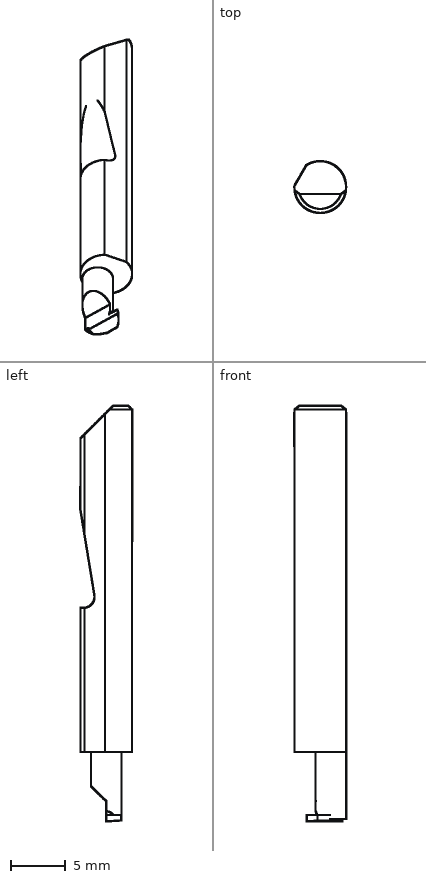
import cadquery as cq
import math

total_length = 38.1
shank_radius = 2.38
shank_bottom = 6.35
end_chamfer = 0.4
bevel_start_y = -0.65
flat_distance = 2.115
flat_direction = 150.0

notch_bottom = 19.6
notch_floor_y = 1.085
notch_radius = 1.0
notch_slope = 9.3

neck_radius = 1.4
neck_x = shank_radius - neck_radius
neck_bottom = 0.23
relief_edge_z = 1.85
relief_slope = 46.0
flank_top = 0.95
flank_width = 0.15

plate_top = 0.6
plate_tip_x = -1.25
plate_corner = (-0.25, -1.37)
plate_curve_middle = (-0.857, -0.75)
plate_end_x = 2.02
plate_end_y = -0.75
plate_clearance = 0.095

margin = 0.4


def make_shank():
    length = total_length - shank_bottom
    shank = cq.Workplane("XY").workplane(offset=shank_bottom).circle(shank_radius).extrude(length)
    return shank.faces(">Z").chamfer(end_chamfer)


def side_flat():
    size = 2 * shank_radius
    block = cq.Workplane("XY").box(size, 2 * size, total_length, centered=(False, True, False))
    block = block.translate((flat_distance, 0, 0))
    return block.rotate((0, 0, 0), (0, 0, 1), flat_direction)


def cut_along_x(profile):
    """Extrude a closed YZ profile through the whole width of the shank."""
    return profile.close().extrude(shank_radius + margin, both=True)


def end_bevel():
    outer_y = shank_radius + margin
    top = total_length + margin
    profile = cq.Workplane("YZ").polyline([
        (bevel_start_y - margin, top),
        (outer_y, top),
        (outer_y, total_length - (outer_y - bevel_start_y)),
    ])
    return cut_along_x(profile)


def clamping_notch():
    slope = math.radians(notch_slope)
    outer_y = shank_radius + margin
    center_y = notch_floor_y + notch_radius
    center_z = notch_bottom + notch_radius

    def on_arc(angle):
        return (center_y - notch_radius * math.cos(angle), center_z + notch_radius * math.sin(angle))

    flank_y, flank_z = on_arc(slope)
    profile = (
        cq.Workplane("YZ")
        .moveTo(outer_y, notch_bottom)
        .lineTo(center_y, notch_bottom)
        .threePointArc(on_arc(-math.pi / 4), (flank_y, flank_z))
        .lineTo(outer_y, flank_z + (outer_y - flank_y) / math.tan(slope))
    )
    return cut_along_x(profile)


def neck_relief():
    outer_y = neck_radius + margin
    outer_z = relief_edge_z + outer_y / math.tan(math.radians(relief_slope))
    profile = cq.Workplane("YZ").polyline([
        (0, -margin),
        (0, relief_edge_z),
        (outer_y, outer_z),
        (outer_y, -margin),
    ])
    return cut_along_x(profile)


def flank_undercut():
    left_x = neck_x - neck_radius
    slope = flank_width / (flank_top - plate_top)
    low_x = left_x + flank_width + slope * (plate_top - neck_bottom)
    profile = cq.Workplane("XZ").polyline([
        (left_x, flank_top),
        (low_x, neck_bottom),
        (left_x, neck_bottom),
    ])
    return profile.close().extrude(neck_radius, both=True)


def make_neck():
    length = shank_bottom - neck_bottom
    neck = cq.Workplane("XY").workplane(offset=neck_bottom).center(neck_x, 0)
    neck = neck.circle(neck_radius).extrude(length)
    return neck.cut(neck_relief()).cut(flank_undercut())


def make_plate():
    back_y = -neck_radius
    plate = (
        cq.Workplane("XY")
        .moveTo(plate_tip_x, 0)
        .threePointArc(plate_curve_middle, plate_corner)
        .lineTo(neck_x, back_y)
        .lineTo(plate_end_x, plate_end_y)
        .lineTo(plate_end_x, 0)
        .close()
        .extrude(plate_top)
    )
    clearance = cq.Workplane("YZ").polyline([(0, 0), (back_y, plate_clearance), (back_y, 0)])
    return plate.cut(cut_along_x(clearance))


shank = make_shank().cut(side_flat()).cut(end_bevel()).cut(clamping_notch())
result = shank.union(make_neck()).union(make_plate())